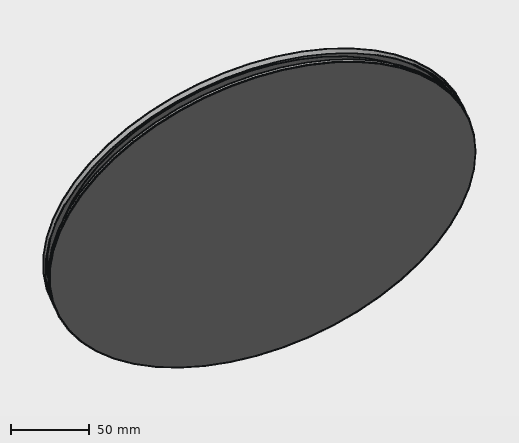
import cadquery as cq

outer_diameter = 290.0
thickness = 12.0
outer_radius = outer_diameter / 2
rim_edge_chamfer = 0.3

groove_radius = 2.5
groove_center_x = 7.1

channel_mouth_outer_radius = 285.0 / 2
channel_floor_inner_radius = 275.0 / 2
channel_depth = 0.44
channel_wall_run = 0.44

AXIS_START = (0, 0)
AXIS_END = (1, 0)


def disc_blank():
    """Plain disc along X with both rim edges broken."""
    blank = cq.Workplane("YZ").circle(outer_radius).extrude(thickness)
    return blank.edges().chamfer(rim_edge_chamfer)


def rim_groove():
    """Ring of circular section centred on the rim."""
    axis_start = (-groove_center_x, -outer_radius)
    axis_end = (3 - groove_center_x, -outer_radius)
    return (
        cq.Workplane("XY")
        .center(groove_center_x, outer_radius)
        .circle(groove_radius)
        .revolve(360, axis_start, axis_end)
    )


def face_channel():
    """Ring of trapezoidal section, widest at the -X face."""
    section = [
        (0, channel_floor_inner_radius - channel_wall_run),
        (channel_depth, channel_floor_inner_radius),
        (channel_depth, channel_mouth_outer_radius - channel_wall_run),
        (0, channel_mouth_outer_radius),
    ]
    return cq.Workplane("XY").polyline(section).close().revolve(360, AXIS_START, AXIS_END)


result = disc_blank().cut(rim_groove()).cut(face_channel())